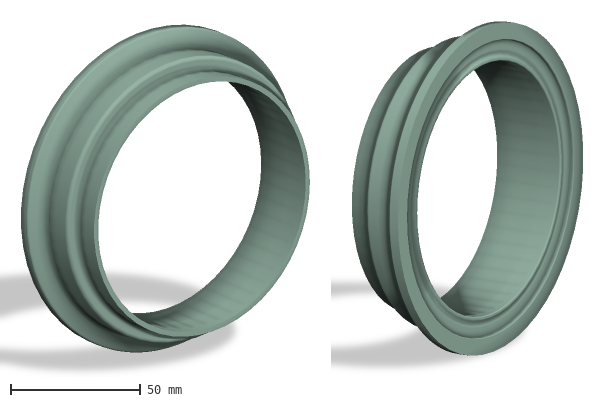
import cadquery as cq
import math

length = 30.0
shoulder_x = 20.0

flange_radius = 130.0 / 2
body_radius = 115.0 / 2
neck_radius = 104.0 / 2
bore_radius = 100.0 / 2

rim_width = 4.2
cone_angle = math.radians(20.0)
cone_foot_x = rim_width + (flange_radius - body_radius) * math.tan(cone_angle)

rim_fillet = 1.0
cone_foot_fillet = 1.8
shoulder_fillet = 1.5
neck_root_fillet = 1.5

recess_radius = 116.7 / 2
recess_floor_x = 1.4
step_fillet = 0.35

hollow_edge_radius = 54.4
hollow_outer_radius = 53.75
hollow_inner_radius = 51.7
crest_radius = 50.9
entry_angle = math.radians(-18.0)
flank_angle = math.radians(42.0)
bore_edge_fillet = 0.5

cut_clearance = 1.0


def outer_profile():
    """Half section of the solid ring, without the face recess."""
    return (
        cq.Workplane("XY")
        .moveTo(0, bore_radius)
        .lineTo(0, flange_radius)
        .lineTo(rim_width, flange_radius)
        .lineTo(cone_foot_x, body_radius)
        .lineTo(shoulder_x, body_radius)
        .lineTo(shoulder_x, neck_radius)
        .lineTo(length, neck_radius)
        .lineTo(length, bore_radius)
        .close()
    )


def spin(profile):
    return profile.revolve(360, (0, 0, 0), (1, 0, 0))


def fillet_circle(body, x, radius, fillet):
    """Round the circular edge of the given radius centred on the axis at x."""
    margin = 0.01
    reach = radius + margin
    box = cq.selectors.BoxSelector(
        (x - margin, -reach, -reach), (x + margin, reach, reach), boundingbox=True
    )
    outermost = cq.selectors.RadiusNthSelector(-1)
    return body.edges(box).edges(outermost).fillet(fillet)


def add_fillet(wire, center, radius, start_angle, end_angle):
    """Draw a line to the start of an arc, then the arc, given by its centre."""

    def point(degrees):
        angle = math.radians(degrees)
        return center[0] + radius * math.cos(angle), center[1] + radius * math.sin(angle)

    middle_angle = (start_angle + end_angle) / 2
    return wire.lineTo(*point(start_angle)).threePointArc(point(middle_angle), point(end_angle))


def add_wave(wire, start_x, radii, tilts):
    """Draw tangent arcs running inward through the radii, where the surface
    has the given tilts from the flange face; return the wire and its final x."""
    x = start_x
    for i in range(len(radii) - 1):
        start_radius, start_tilt, end_tilt = radii[i], tilts[i], tilts[i + 1]
        bend = (start_radius - radii[i + 1]) / (math.sin(end_tilt) - math.sin(start_tilt))

        def point(tilt):
            return (
                x + bend * (math.cos(tilt) - math.cos(start_tilt)),
                start_radius - bend * (math.sin(tilt) - math.sin(start_tilt)),
            )

        end = point(end_tilt)
        wire = wire.threePointArc(point((start_tilt + end_tilt) / 2), end)
        x = end[0]
    return wire, x


def recess_profile():
    """Half section of everything removed from the flange face."""
    wire = (
        cq.Workplane("XY")
        .moveTo(-cut_clearance, bore_radius)
        .lineTo(-cut_clearance, recess_radius + step_fillet)
    )
    edge_center = (step_fillet, recess_radius + step_fillet)
    root_center = (recess_floor_x - step_fillet, recess_radius - step_fillet)
    wire = add_fillet(wire, edge_center, step_fillet, 180, 270)
    wire = add_fillet(wire, root_center, step_fillet, 90, 0)

    wire = wire.lineTo(recess_floor_x, hollow_edge_radius)
    wire, crest_x = add_wave(
        wire,
        recess_floor_x,
        (hollow_edge_radius, hollow_outer_radius, hollow_inner_radius, crest_radius),
        (0, entry_angle, flank_angle, 0),
    )
    bore_edge_center = (crest_x + bore_edge_fillet, bore_radius + bore_edge_fillet)
    wire = add_fillet(wire, bore_edge_center, bore_edge_fillet, 180, 270)
    return wire.close()


body = spin(outer_profile())
body = fillet_circle(body, rim_width, flange_radius, rim_fillet)
body = fillet_circle(body, cone_foot_x, body_radius, cone_foot_fillet)
body = fillet_circle(body, shoulder_x, body_radius, shoulder_fillet)
body = fillet_circle(body, shoulder_x, neck_radius, neck_root_fillet)
result = body.cut(spin(recess_profile()))